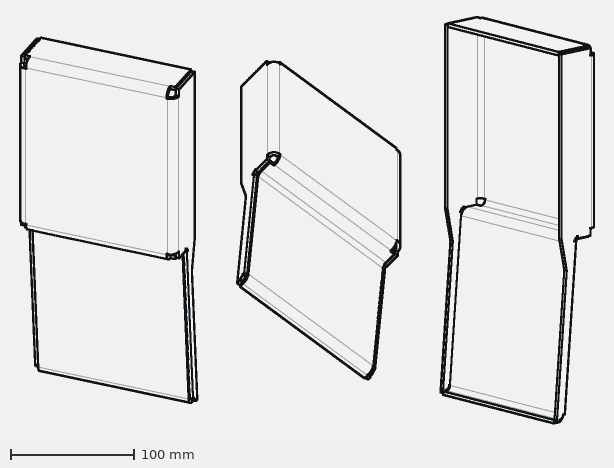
import cadquery as cq
import math

width = 140.0
depth = 45.3
height = 310.0

thickness = 3.0
inner_bend_radius = 4.0
outer_bend_radius = inner_bend_radius + thickness

box_depth = 40.0
shelf_height = 150.0
shelf_depth = 22.0
panel_tilt = math.radians(5)

wall_inset = thickness / 2
lower_wall_depth = 10.0
taper_top = 155.0
taper_bottom = 126.5
shelf_relief_clearance = 1.2
shelf_relief_reach = 0.3
side_gap = 0.3
lip_clearance = 0.3

corner_notch = 7.8

half_width = width / 2
inner_half_width = half_width - thickness
strip_half_width = inner_half_width - side_gap
behind = 2 * depth


def panel_front(z):
    """Y of the lower panel's front face at height z."""
    return shelf_depth + (shelf_height - z) * math.tan(panel_tilt)


def front_corners(inset):
    """Sharp corners of the front outline from top to bottom, moved into the part by inset."""
    level_shift = inset / math.cos(panel_tilt)
    top = height - inset
    shelf = shelf_height + inset
    return [
        (inset, top),
        (inset, shelf),
        (panel_front(shelf) + level_shift, shelf),
        (panel_front(inset) + level_shift, inset),
    ]


def prism(points, x_start, x_end):
    """Extrude a closed Y-Z polygon between two X positions."""
    outline = cq.Workplane("YZ", origin=(x_start, 0, 0)).polyline(points).close()
    return outline.extrude(x_end - x_start)


def box(x_range, y_range, z_range):
    """Axis-aligned block between the given limits."""
    sizes = [high - low for low, high in (x_range, y_range, z_range)]
    block = cq.Workplane("XY").box(*sizes, centered=False)
    return block.translate((x_range[0], y_range[0], z_range[0]))


def fillet_corner(solid, corner, radius):
    """Round the edge along X that passes through a Y-Z corner."""
    middle_x = solid.val().Center().x
    nearest = cq.selectors.NearestToPointSelector((middle_x, *corner))
    return solid.edges("|X").edges(nearest).fillet(radius)


def area_behind(inset):
    """Everything behind the front outline, with its four bends rounded."""
    corners = front_corners(inset)
    closing = [(behind, inset), (behind, height - inset)]
    solid = prism(corners + closing, -strip_half_width, strip_half_width)
    convex_radius = outer_bend_radius - inset
    concave_radius = inner_bend_radius + inset
    radii = [convex_radius, convex_radius, concave_radius, convex_radius]
    for corner, radius in zip(corners, radii):
        solid = fillet_corner(solid, corner, radius)
    return solid


def bent_strip():
    """Top flange, front panel, shelf, lower panel and bottom lip as one bent strip."""
    strip = area_behind(0).cut(area_behind(thickness))
    full_x = (-half_width, half_width)
    strip = strip.cut(box(full_x, (box_depth, behind), (taper_top, height)))
    strip = strip.cut(box(full_x, (depth, behind), (0, taper_top)))
    notch_start = half_width - corner_notch
    for side_x in ((-half_width, -notch_start), (notch_start, half_width)):
        strip = strip.cut(box(side_x, (0, corner_notch), (shelf_height, height)))
    return strip


def front_channel():
    """Front panel with the two vertical bends that lead into the side walls."""
    bottom = shelf_height + corner_notch
    top = height - corner_notch
    outer = box((-half_width, half_width), (0, behind), (bottom, top))
    outer = outer.edges("|Z and <Y").fillet(outer_bend_radius)
    inner = box((-inner_half_width, inner_half_width), (thickness, behind), (bottom, top))
    inner = inner.edges("|Z and <Y").fillet(inner_bend_radius)
    front_slice = box((-half_width, half_width), (0, corner_notch), (bottom, top))
    return outer.cut(inner).intersect(front_slice)


def side_wall():
    """Flat side wall at -X, from the vertical bend back to the open rear edge."""
    x_limits = (-half_width, -inner_half_width)
    corners = front_corners(wall_inset)
    level_depth = lower_wall_depth / math.cos(panel_tilt)
    rear_points = [
        (panel_front(wall_inset) + level_depth, wall_inset),
        (panel_front(taper_bottom) + level_depth, taper_bottom),
        (box_depth, taper_top),
        (box_depth, height - wall_inset),
    ]
    wall = prism(corners + rear_points, *x_limits)
    wall = wall.cut(box(x_limits, (0, corner_notch), (0, height)))

    sketch_plane = cq.Workplane("YZ", origin=(x_limits[0], 0, 0))

    relief_disc = (
        sketch_plane.center(*front_corners(-inner_bend_radius)[2])
        .circle(outer_bend_radius + shelf_relief_clearance)
        .extrude(thickness)
    )
    relief_start = shelf_depth - shelf_relief_reach
    relief_bottom = shelf_height - shelf_relief_reach
    relief_zone = box(x_limits, (relief_start, behind), (relief_bottom, height))
    shelf_relief = relief_disc.intersect(relief_zone)

    bend_y, bend_z = front_corners(outer_bend_radius)[3]
    reach = 2 * outer_bend_radius
    sector = [
        (bend_y, bend_z),
        (bend_y - reach * math.cos(panel_tilt), bend_z - reach * math.sin(panel_tilt)),
        (bend_y - reach, bend_z - reach),
        (bend_y, bend_z - reach),
    ]
    arc_radius = inner_bend_radius - lip_clearance
    kept_disc = sketch_plane.center(bend_y, bend_z).circle(arc_radius).extrude(thickness)
    bottom_relief = prism(sector, *x_limits).cut(kept_disc)
    return wall.cut(shelf_relief).cut(bottom_relief)


left_wall = side_wall()
right_wall = left_wall.mirror("YZ")
result = bent_strip().union(front_channel()).union(left_wall).union(right_wall)